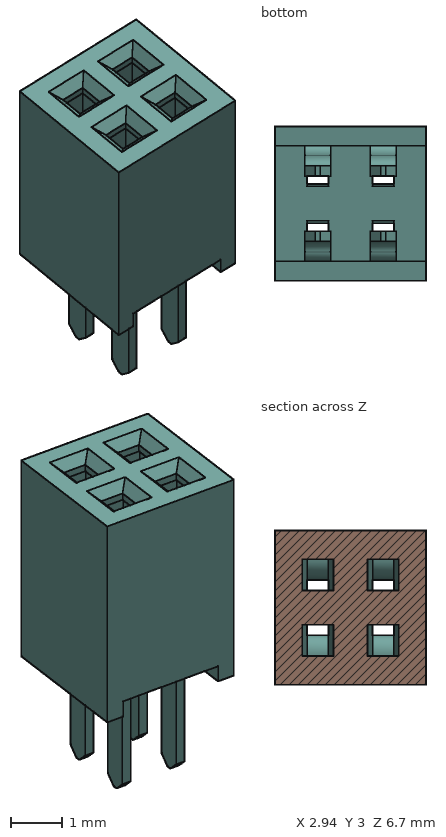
import cadquery as cq
import math


total_height = 6.7
housing_width = 2.94
housing_depth = 3.0
housing_height = 4.5
pitch = 1.27

neck_size = 0.5
funnel_depth = 0.2
funnel_mouth = neck_size + 2 * funnel_depth
neck_depth = 0.15
cavity_end_width = 0.415
narrowing_depth = 0.63

slot_depth = 0.35
slot_width = 2.25
slot_wall = slot_width / 2

strip_width = 0.5
strip_thickness = 0.2
inner_bend_radius = 0.2
outer_bend_radius = inner_bend_radius + strip_thickness
point_length = 0.2
tail_end = housing_height - total_height

bend_start = -0.07
tail_inner_face = pitch / 2 - strip_thickness / 2
tail_outer_face = tail_inner_face + strip_thickness

level_y = tail_inner_face + outer_bend_radius
level_top = bend_start + outer_bend_radius
level_bottom = level_top - strip_thickness
foot_bottom = level_top - math.sqrt(strip_thickness**2 - (slot_wall - level_y) ** 2)

cavity_size = 2 * (level_y - pitch / 2)

socket_centres = [(sx * pitch / 2, sy * pitch / 2) for sx in (-1, 1) for sy in (-1, 1)]


def make_taper(x, y, top, depth, top_size, bottom_size):
    """Rectangular cutter, straight or tapered, going down from a given height."""
    return (
        cq.Workplane("XY", origin=(x, y, top))
        .rect(*top_size)
        .workplane(offset=-depth)
        .rect(*bottom_size)
        .loft(ruled=True)
    )


def make_socket(x, y):
    """Cutter for one socket from the top face down to the slot."""
    mouth_section = (funnel_mouth, funnel_mouth)
    neck_section = (neck_size, neck_size)
    cavity_section = (cavity_size, cavity_size)
    end_section = (cavity_end_width, cavity_size)

    neck_top = housing_height - funnel_depth
    cavity_top = neck_top - neck_depth
    narrowing_top = slot_depth + narrowing_depth

    funnel = make_taper(x, y, housing_height, funnel_depth, mouth_section, neck_section)
    neck = make_taper(x, y, neck_top, neck_depth, neck_section, neck_section)
    cavity = make_taper(x, y, cavity_top, cavity_top - narrowing_top, cavity_section, cavity_section)
    narrowing = make_taper(x, y, narrowing_top, narrowing_depth, cavity_section, end_section)
    return funnel.union(neck).union(cavity).union(narrowing)


def make_housing():
    """Block with a slot along X in its bottom face and four sockets."""
    block = cq.Workplane("XY").box(
        housing_width, housing_depth, housing_height, centered=(True, True, False)
    )
    slot = cq.Workplane("XY").box(
        housing_width, slot_width, slot_depth, centered=(True, True, False)
    )
    block = block.cut(slot)
    for x, y in socket_centres:
        block = block.cut(make_socket(x, y))
    return block


def make_contact():
    """Contact on the +Y side, centred on X = 0, ending against the slot's ceiling and wall."""
    side_profile = (
        cq.Workplane("YZ")
        .moveTo(tail_inner_face, tail_end)
        .lineTo(tail_inner_face, bend_start)
        .radiusArc((level_y, level_top), outer_bend_radius)
        .lineTo(level_y, slot_depth)
        .lineTo(slot_wall, slot_depth)
        .lineTo(slot_wall, foot_bottom)
        .radiusArc((level_y, level_bottom), strip_thickness)
        .radiusArc((tail_outer_face, bend_start), -inner_bend_radius)
        .lineTo(tail_outer_face, tail_end)
        .close()
    )
    strip = side_profile.extrude(strip_width / 2, both=True)
    return strip.faces("<Z").edges("|Y").chamfer(point_length)


def place_contact(x, y):
    """Copy of the contact for one socket, turned so that it bends outwards."""
    turn = 0 if y > 0 else 180
    return make_contact().rotate((0, 0, 0), (0, 0, 1), turn).translate((x, 0, 0))


housing = make_housing()
contacts = [place_contact(x, y).val() for x, y in socket_centres]

result = cq.Compound.makeCompound([housing.val(), *contacts])